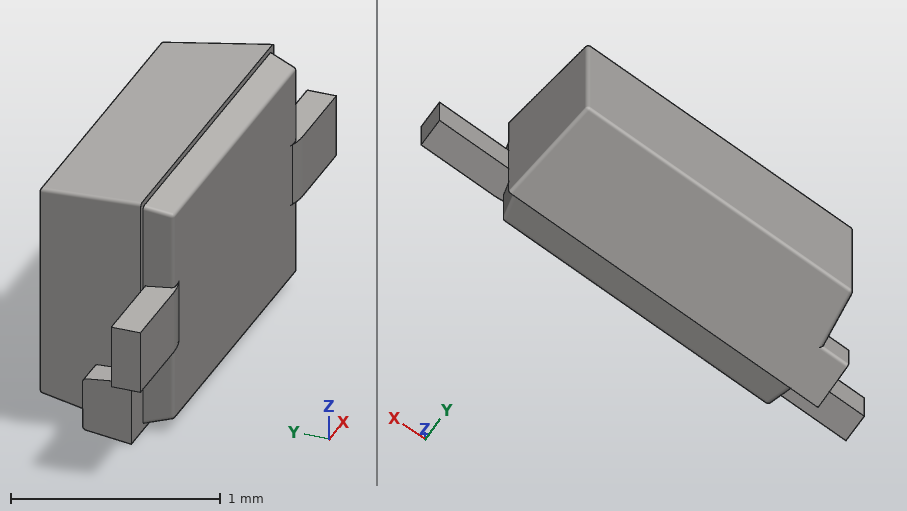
import cadquery as cq
import math


back_length = 1.70
back_height = 1.25
back_depth = 0.55
back_draft = 7.0

front_inset = 0.03
front_depth = 0.145
front_draft = 14.5

edge_radius = 0.02

step_end_x = -0.97
step_top_z = -0.287
step_depth = 0.25
step_overlap = 0.15

lead_span = 2.50
lead_width = 0.325
lead_thickness = 0.15
lead_gap = 0.01
lead_bend_radius = 0.315
lead_embed = 0.15

front_length = back_length - 2 * front_inset
front_height = back_height - 2 * front_inset


def drafted_block(length, height, depth, draft, direction):
    """Rectangle at the parting plane, narrowing as it extends along direction * Y."""
    plane = cq.Plane(origin=(0, 0, 0), xDir=(1, 0, 0), normal=(0, direction, 0))
    return cq.Workplane(plane).rect(length, height).extrude(depth, taper=draft)


def make_polarity_step():
    """Step with a plain end face, drafted on its top and bottom like the back shell."""
    bottom_z = -back_height / 2
    rise = step_depth * math.tan(math.radians(back_draft))
    length = (-back_length / 2 - step_end_x) + step_overlap
    profile = [
        (0, bottom_z),
        (0, step_top_z),
        (step_depth, step_top_z - rise),
        (step_depth, bottom_z + rise),
    ]
    step = cq.Workplane("YZ", origin=(step_end_x, 0, 0)).polyline(profile).close().extrude(length)
    return step.faces(">Y").edges("|X").fillet(edge_radius)


def make_back_shell():
    """Back shell with the polarity step joined on; only its parting-plane edges stay sharp."""
    shell = drafted_block(back_length, back_height, back_depth, back_draft, 1)
    shell = shell.edges("not <Y").fillet(edge_radius)
    return shell.union(make_polarity_step())


def make_front_shell():
    """Front shell with rounded edges, sharp at the parting plane, before its lead pockets are cut."""
    shell = drafted_block(front_length, front_height, front_depth, front_draft, -1)
    return shell.edges("not >Y").fillet(edge_radius)


def make_lead(side):
    """Flat lead on the side * X end; its front face curves back into the front shell."""
    back_y = -lead_gap
    front_y = back_y - lead_thickness
    tip_x = side * lead_span / 2
    bend_x = side * front_length / 2
    inner_x = bend_x - side * lead_embed
    half_angle = math.asin(lead_embed / lead_bend_radius) / 2

    def on_bend(angle):
        x = bend_x - side * lead_bend_radius * math.sin(angle)
        y = front_y + lead_bend_radius * (1 - math.cos(angle))
        return (x, y)

    return (
        cq.Workplane("XY", origin=(0, 0, -lead_width / 2))
        .moveTo(tip_x, back_y)
        .lineTo(tip_x, front_y)
        .lineTo(bend_x, front_y)
        .threePointArc(on_bend(half_angle), on_bend(2 * half_angle))
        .lineTo(inner_x, back_y)
        .close()
        .extrude(lead_width)
    )


leads = [make_lead(side) for side in (-1, 1)]
back_shell = make_back_shell()
front_shell = make_front_shell()
for lead in leads:
    front_shell = front_shell.cut(lead)

result = cq.Compound.makeCompound(
    [
        *back_shell.solids().vals(),
        *front_shell.solids().vals(),
        *[lead.val() for lead in leads],
    ]
)